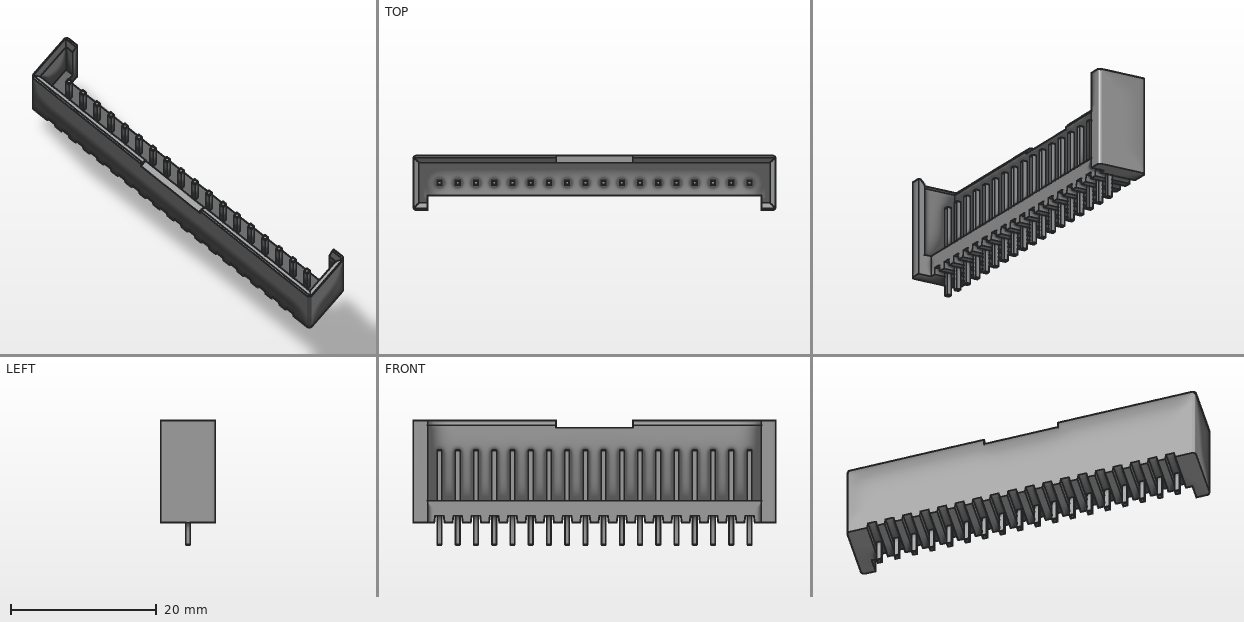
import cadquery as cq

LENGTH = 49.7
DEPTH = 7.5
TOTAL_HEIGHT = 17.1
HOUSING_HEIGHT = 14.0
CORNER_RADIUS = 0.5

FLOOR_HEIGHT = 3.0
LONG_WALL = 1.0
END_WALL = 0.8
LEAD_IN = 0.7
FRONT_LIP_LENGTH = 2.0
FRONT_SETBACK = 2.0
KEY_WIDTH = 10.55
KEY_DEPTH = 1.0

PIN_COUNT = 18
PIN_SPAN = 42.5
PIN_PITCH = PIN_SPAN / (PIN_COUNT - 1)
PIN_WIDTH = 0.65
PIN_TOP = 10.0
PIN_BOTTOM = HOUSING_HEIGHT - TOTAL_HEIGHT
PIN_CHAMFER = 0.1

GROOVE_DEPTH = 0.95
GROOVE_MOUTH = 1.4
GROOVE_ROOF = 1.15

PIN_POSITIONS = [i * PIN_PITCH - PIN_SPAN / 2 for i in range(PIN_COUNT)]


def block(x_size, y_size, z_size):
    """Box centred on X and Y, standing on Z = 0."""
    return cq.Workplane("XY").box(x_size, y_size, z_size, centered=(True, True, False))


def make_shell():
    """Rounded block opened at the front between the two lips."""
    shell = block(LENGTH, DEPTH, HOUSING_HEIGHT).edges("|Z").fillet(CORNER_RADIUS)
    opening = block(LENGTH - 2 * FRONT_LIP_LENGTH, FRONT_SETBACK, HOUSING_HEIGHT)
    return shell.cut(opening.translate((0, (FRONT_SETBACK - DEPTH) / 2, 0)))


def make_cavity():
    """Space above the floor, flaring outwards at the rim."""
    length = LENGTH - 2 * END_WALL
    depth = DEPTH - 2 * LONG_WALL
    straight = block(length, depth, HOUSING_HEIGHT - FLOOR_HEIGHT)
    flare = (
        cq.Workplane("XY", origin=(0, 0, HOUSING_HEIGHT))
        .rect(length + 2 * LEAD_IN, depth + 2 * LEAD_IN)
        .extrude(-LEAD_IN, taper=45)
    )
    return straight.translate((0, 0, FLOOR_HEIGHT)).union(flare)


def make_key_notch():
    """Polarising notch through the rim of the back wall."""
    notch = block(KEY_WIDTH, LONG_WALL, KEY_DEPTH)
    return notch.translate((0, (DEPTH - LONG_WALL) / 2, HOUSING_HEIGHT - KEY_DEPTH))


def make_groove(x):
    """Tapered groove running front to back under the floor."""
    return (
        cq.Workplane("XZ", origin=(x, 0, 0))
        .moveTo(-GROOVE_MOUTH / 2, 0)
        .lineTo(-GROOVE_ROOF / 2, GROOVE_DEPTH)
        .lineTo(GROOVE_ROOF / 2, GROOVE_DEPTH)
        .lineTo(GROOVE_MOUTH / 2, 0)
        .close()
        .extrude(DEPTH / 2, both=True)
    )


def make_pin(x):
    """Square pin through the floor, chamfered at both tips."""
    pin = block(PIN_WIDTH, PIN_WIDTH, PIN_TOP - PIN_BOTTOM)
    return pin.faces("<Z or >Z").chamfer(PIN_CHAMFER).translate((x, 0, PIN_BOTTOM))


result = make_shell().cut(make_cavity()).cut(make_key_notch())
for pin_x in PIN_POSITIONS:
    result = result.cut(make_groove(pin_x)).union(make_pin(pin_x))